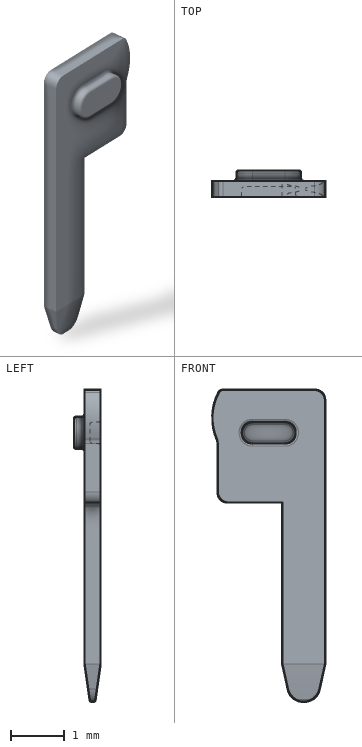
import cadquery as cq
import math

height = 5.8
thickness = 0.3
head_width = 2.0
head_height = 2.1
corner_radius = 0.2
stem_width = 0.8

bulge_radius = 1.0
bulge_reach = 0.1
bulge_center_z = 5.28
bulge_top_radius = 0.1
bulge_bottom_radius = 0.2

tip_height = 0.7
tip_end_width = 0.49
tip_corner_radius = 0.3
tip_end_thickness = 0.1
tip_edge_radius = 0.05

slot_center_x = 0.95
slot_center_z = 5.0
slot_straight = 0.605
boss_width = 0.6
boss_height = 0.2
pocket_width = 0.4
pocket_depth = 0.2
emboss_radius = 0.05

head_bottom = height - head_height
stem_left = head_width - stem_width
stem_center_x = head_width - stem_width / 2
mid_y = thickness / 2


def outline_plane(y):
    """XZ plane at depth y; extruding by a negative length goes toward +Y."""
    return cq.Workplane("XZ", origin=(0, y, 0))


def on_circle(center, radius, angle):
    return (center[0] + radius * math.cos(angle), center[1] + radius * math.sin(angle))


def make_head():
    """Head plate with rounded corners and the bulge blended into its left edge."""
    bulge_center = (bulge_radius - bulge_reach, bulge_center_z)

    top_z = height - bulge_top_radius
    top_angle = math.pi - math.asin((top_z - bulge_center_z) / (bulge_radius - bulge_top_radius))
    top_center = on_circle(bulge_center, bulge_radius - bulge_top_radius, top_angle)
    bulge_top = on_circle(bulge_center, bulge_radius, top_angle)
    top_middle = on_circle(top_center, bulge_top_radius, (top_angle + math.pi / 2) / 2)

    bottom_offset = bulge_center[0] + bulge_bottom_radius
    bottom_turn = math.acos(bottom_offset / (bulge_radius + bulge_bottom_radius))
    bottom_center = on_circle(bulge_center, bulge_radius + bulge_bottom_radius, math.pi + bottom_turn)
    bulge_bottom = on_circle(bulge_center, bulge_radius, math.pi + bottom_turn)
    bottom_middle = on_circle(bottom_center, bulge_bottom_radius, bottom_turn / 2)

    head = (
        outline_plane(0)
        .moveTo(0, head_bottom)
        .lineTo(0, bottom_center[1])
        .threePointArc(bottom_middle, bulge_bottom)
        .threePointArc((-bulge_reach, bulge_center_z), bulge_top)
        .threePointArc(top_middle, (top_center[0], height))
        .lineTo(head_width, height)
        .lineTo(head_width, head_bottom)
        .close()
        .extrude(-thickness)
    )
    lower_left = cq.NearestToPointSelector((0, mid_y, head_bottom))
    upper_right = cq.NearestToPointSelector((head_width, mid_y, height))
    for corner in (lower_left, upper_right):
        head = head.edges("|Y").edges(corner).fillet(corner_radius)
    return head


def make_stem():
    """Straight stem from the head down to the start of the tip."""
    return cq.Workplane().box(
        stem_width, thickness, head_bottom - tip_height, centered=False
    ).translate((stem_left, 0, tip_height))


def tapered_prism(plane, top_width, end_width, radius, length):
    """Symmetric trapezoid with rounded lower corners, extruded about its plane."""
    return (
        cq.Workplane(plane)
        .moveTo(-top_width / 2, tip_height)
        .lineTo(top_width / 2, tip_height)
        .lineTo(end_width / 2, 0)
        .lineTo(-end_width / 2, 0)
        .close()
        .extrude(length / 2, both=True)
        .faces("<Z")
        .edges("|Y" if plane == "XZ" else "|X")
        .fillet(radius)
    )


def make_tip():
    """Tip tapering in width and thickness: the overlap of two trapezoids."""
    width_taper = tapered_prism("XZ", stem_width, tip_end_width, tip_corner_radius, thickness)
    thickness_taper = tapered_prism("YZ", thickness, tip_end_thickness, tip_edge_radius, stem_width)
    return width_taper.intersect(thickness_taper).translate((stem_center_x, mid_y, 0))


def slot_prism(y, width, depth):
    """Round-ended prism centred on the emboss, running from y toward +Y."""
    return (
        outline_plane(y)
        .center(slot_center_x, slot_center_z)
        .slot2D(slot_straight + width, width)
        .extrude(-depth)
    )


def add_boss(body):
    """Boss on the back with a rounded rim and a fillet where it meets the sheet."""
    boss = slot_prism(thickness, boss_width, boss_height).faces(">Y").edges().fillet(emboss_radius)
    reach = boss_width / 2 + emboss_radius
    base_box = cq.selectors.BoxSelector(
        (slot_center_x - slot_straight / 2 - reach, thickness - emboss_radius / 2, slot_center_z - reach),
        (slot_center_x + slot_straight / 2 + reach, thickness + emboss_radius / 2, slot_center_z + reach),
    )
    return body.union(boss).edges(base_box).fillet(emboss_radius)


def cut_pocket(body):
    """Pocket in the front with a filleted floor and a rounded mouth."""
    pocket = slot_prism(0, pocket_width, pocket_depth).faces(">Y").edges().fillet(emboss_radius)
    mouth_edge = cq.NearestToPointSelector((slot_center_x, 0, slot_center_z + pocket_width / 2))
    return body.cut(pocket).edges(mouth_edge).fillet(emboss_radius)


plate = make_head().union(make_stem()).union(make_tip())
result = cut_pocket(add_boss(plate))